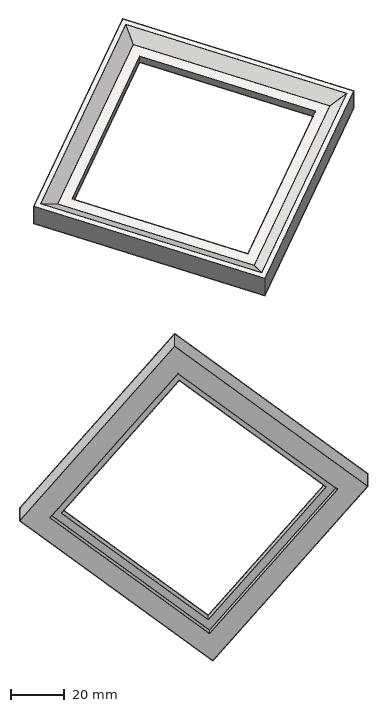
import cadquery as cq

side = 92.0
height = 11.0

rim_width = 2.0
bevel_width = 4.9
border_width = 11.0

floor_height = 7.0
rebate_size = 3.0

floor_side = side - 2 * (rim_width + bevel_width)
bevel_top_side = side - 2 * rim_width
opening_side = side - 2 * border_width
rebate_side = opening_side + 2 * rebate_size


def square_block(width, thickness):
    """Square block centred on Z, standing on the XY plane."""
    return cq.Workplane("XY").rect(width, width).extrude(thickness)


def bevel_recess():
    """Recess widening from the lip floor up to the flat rim."""
    return (
        cq.Workplane("XY")
        .workplane(offset=floor_height)
        .rect(floor_side, floor_side)
        .workplane(offset=height - floor_height)
        .rect(bevel_top_side, bevel_top_side)
        .loft(ruled=True)
    )


frame = square_block(side, height)
opening = square_block(opening_side, height)
rebate = square_block(rebate_side, rebate_size)

result = frame.cut(opening).cut(bevel_recess()).cut(rebate)